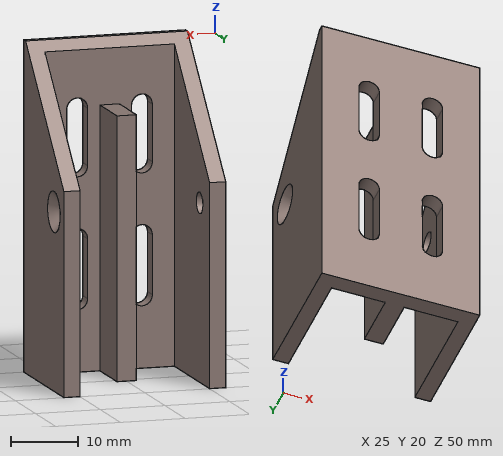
import cadquery as cq

width = 25.0
depth = 20.0
height = 50.0
wall = 2.5

top_flat = 1.0
rear_height = height - (depth - top_flat)

slot_width = 3.2
slot_pitch_x = 10.0
slot_z_ranges = [(9.4, 21.6), (29.4, 41.25)]

screw_diameter = 3.2
countersink_diameter = 6.2
countersink_angle = 90.0
screw_y = 15.0
screw_z = 27.0

rib_thickness = 3.0
rib_rear_y = 11.0
rib_height = height - (rib_rear_y - top_flat)


def make_channel():
    """U-shaped channel, open at the rear and both ends, with a sloped top."""
    side_profile = [
        (0, 0),
        (depth, 0),
        (depth, rear_height),
        (top_flat, height),
        (0, height),
    ]
    body = cq.Workplane("YZ").polyline(side_profile).close().extrude(width)
    cavity = cq.Workplane("XY").box(
        width - 2 * wall, depth - wall, height, centered=False
    ).translate((wall, wall, 0))
    return body.cut(cavity)


def make_rib():
    """Flat-topped rib on the centre line, from the bottom end up to the slope."""
    return cq.Workplane("XY").box(
        rib_thickness, rib_rear_y - wall, rib_height, centered=False
    ).translate(((width - rib_thickness) / 2, wall, 0))


def cut_slots(body):
    for center_x in (width / 2 - slot_pitch_x / 2, width / 2 + slot_pitch_x / 2):
        for bottom_z, top_z in slot_z_ranges:
            slot = (
                cq.Workplane("XZ")
                .center(center_x, (bottom_z + top_z) / 2)
                .slot2D(top_z - bottom_z, slot_width, 90)
                .extrude(-wall)
            )
            body = body.cut(slot)
    return body


def cut_screw_holes(body):
    """Screw hole in each side wall, countersunk from the outside."""
    for wall_face in ("<X", ">X"):
        body = (
            body.faces(wall_face)
            .workplane(origin=(0, screw_y, screw_z))
            .cskHole(screw_diameter, countersink_diameter, countersink_angle, depth=wall)
        )
    return body


result = cut_screw_holes(cut_slots(make_channel().union(make_rib())))